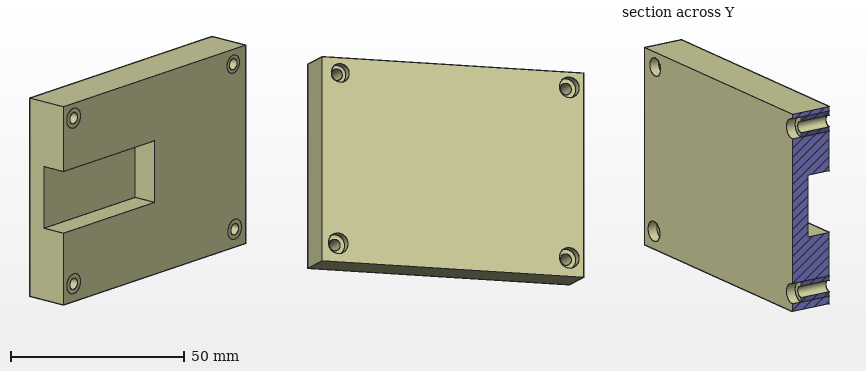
import cadquery as cq

THICKNESS = 13.0
LENGTH = 80.0
HEIGHT = 60.0

SLOT_FLOOR = 5.5
SLOT_TOP = 10.4
SLOT_BOTTOM = -8.2
SLOT_LENGTH = 40.0

HOLE_DIAMETER = 3.4
BORE_DIAMETER = 6.0
SMALL_BORE_DIAMETER = 5.4
RECESS_DEPTH = 3.0

NEAR_Y = -35.5
FAR_TOP_Y = 34.5
FAR_BOTTOM_Y = 35.1
TOP_Z = 25.5
BOTTOM_Z = -24.6

CORNERS = [
    (FAR_TOP_Y, TOP_Z, SMALL_BORE_DIAMETER),
    (NEAR_Y, TOP_Z, BORE_DIAMETER),
    (FAR_BOTTOM_Y, BOTTOM_Z, BORE_DIAMETER),
    (NEAR_Y, BOTTOM_Z, BORE_DIAMETER),
]


def x_cylinder(diameter, x_start, x_end, y, z):
    """Cylinder along X between two X positions."""
    return (
        cq.Workplane("YZ", origin=(x_start, y, z))
        .circle(diameter / 2)
        .extrude(x_end - x_start)
    )


def make_slot():
    """Rectangular space for the connector slot."""
    return cq.Workplane("XY").box(
        THICKNESS - SLOT_FLOOR, SLOT_LENGTH, SLOT_TOP - SLOT_BOTTOM, centered=False
    ).translate((SLOT_FLOOR, -LENGTH / 2, SLOT_BOTTOM))


def make_housing():
    """Block with the connector slot and four corner bores."""
    block = cq.Workplane("XY").box(THICKNESS, LENGTH, HEIGHT, centered=(False, True, True))
    block = block.cut(make_slot())
    for y, z, bore_diameter in CORNERS:
        block = block.cut(x_cylinder(bore_diameter, 0, THICKNESS, y, z))
    return block


def make_bushing(y, z, outer_diameter):
    """Tube that lines a corner bore from the recess to the +X face."""
    body = x_cylinder(outer_diameter, RECESS_DEPTH, THICKNESS, y, z)
    return body.cut(x_cylinder(HOLE_DIAMETER, RECESS_DEPTH, THICKNESS, y, z))


housing = make_housing()
bushings = [make_bushing(y, z, bore_diameter) for y, z, bore_diameter in CORNERS]

result = cq.Compound.makeCompound([housing.val(), *[bushing.val() for bushing in bushings]])